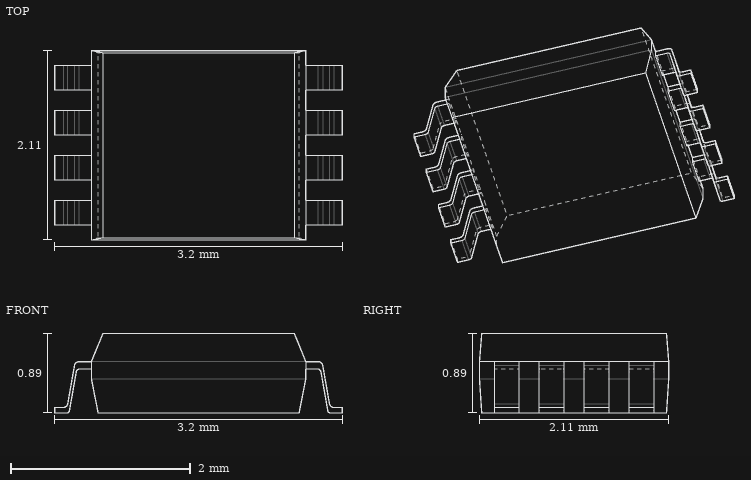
import cadquery as cq
import math

lead_span = 3.198
body_length_x = 2.385
body_length_y = 2.106
body_height = 0.887

band_bottom = 0.382
band_top = 0.575
top_inset_x = 0.128
bottom_inset_x = 0.075
inset_y = 0.025

leads_per_side = 4
lead_pitch = 0.5
lead_width = 0.275
shoulder_thickness = 0.085
foot_thickness = 0.065
web_thickness_x = 0.035
web_angle = 10.0
web_top_x = 1.373
shoulder_bend_radius = 0.055
foot_bend_radius = 0.048
inner_bend_radius = 0.035
lead_embed = 0.1


def taper(start_z, end_z, inset_x):
    """Loft from the full body section at start_z to the inset section at end_z."""
    return (
        cq.Workplane("XY")
        .workplane(offset=start_z)
        .rect(body_length_x, body_length_y)
        .workplane(offset=end_z - start_z)
        .rect(body_length_x - 2 * inset_x, body_length_y - 2 * inset_y)
        .loft(ruled=True)
    )


def make_body():
    """Straight band with a tapered block above and below it."""
    band = (
        cq.Workplane("XY")
        .workplane(offset=band_bottom)
        .rect(body_length_x, body_length_y)
        .extrude(band_top - band_bottom)
    )
    upper = taper(band_top, body_height, top_inset_x)
    lower = taper(band_bottom, 0, bottom_inset_x)
    return band.union(upper).union(lower)


def web_outer_x(z):
    """X of the web's outer face at height z."""
    return web_top_x + (band_top - z) * math.tan(math.radians(web_angle))


def web_inner_x(z):
    """X of the web's inner face at height z."""
    return web_outer_x(z) - web_thickness_x


def make_lead():
    """One +X side lead, centred on Y = 0."""
    root_x = body_length_x / 2 - lead_embed
    toe_x = lead_span / 2
    shoulder_bottom = band_top - shoulder_thickness
    shoulder_outer = (web_outer_x(band_top), band_top)
    shoulder_inner = (web_inner_x(shoulder_bottom), shoulder_bottom)
    foot_outer = (web_outer_x(foot_thickness), foot_thickness)
    foot_inner = (web_inner_x(0), 0)
    profile = [
        (root_x, band_top),
        shoulder_outer,
        foot_outer,
        (toe_x, foot_thickness),
        (toe_x, 0),
        foot_inner,
        shoulder_inner,
        (root_x, shoulder_bottom),
    ]
    lead = cq.Workplane("XZ").polyline(profile).close().extrude(lead_width / 2, both=True)
    bends = [
        (shoulder_outer, shoulder_bend_radius),
        (foot_outer, foot_bend_radius),
        (shoulder_inner, inner_bend_radius),
        (foot_inner, inner_bend_radius),
    ]
    for (x, z), radius in bends:
        corner = cq.selectors.NearestToPointSelector((x, 0, z))
        lead = lead.edges("|Y").edges(corner).fillet(radius)
    return lead


def add_leads(body):
    """Join the row of leads on each X side to the body."""
    right_lead = make_lead()
    left_lead = right_lead.mirror("YZ")
    for index in range(leads_per_side):
        y = (index - (leads_per_side - 1) / 2) * lead_pitch
        for lead in (right_lead, left_lead):
            body = body.union(lead.translate((0, y, 0)))
    return body


result = add_leads(make_body())